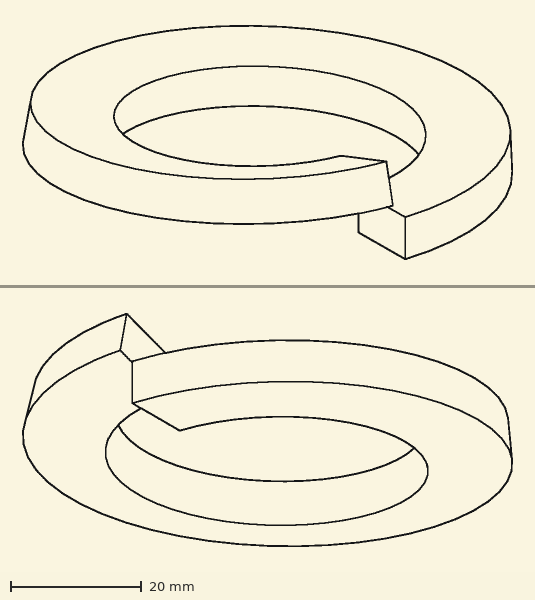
import cadquery as cq

outer_radius = 37.5
bar_width = 13.0
bar_height = 7.0
inner_radius = outer_radius - bar_width

pitch = 9.45
wound_turns = 0.995
lower_end_y = 0.4
upper_end_y = -1.9


def wound_bar():
    """Bar wound with its outer lower corner on a helix."""
    edge_helix = cq.Wire.makeHelix(pitch, pitch * wound_turns, outer_radius)
    section = (
        cq.Workplane("XZ")
        .moveTo(outer_radius, 0)
        .lineTo(outer_radius, bar_height)
        .lineTo(inner_radius, bar_height)
        .lineTo(inner_radius, 0)
        .close()
    )
    return section.sweep(cq.Workplane(edge_helix), isFrenet=False)


def end_slot():
    """Radial slot through the +X side of the ring, over its full height."""
    slot_length = 2 * outer_radius
    slot_width = lower_end_y - upper_end_y
    slot_height = 4 * (pitch + bar_height)
    return (
        cq.Workplane("XY")
        .box(slot_length, slot_width, slot_height, centered=(False, False, True))
        .translate((0, upper_end_y, 0))
    )


result = wound_bar().cut(end_slot())